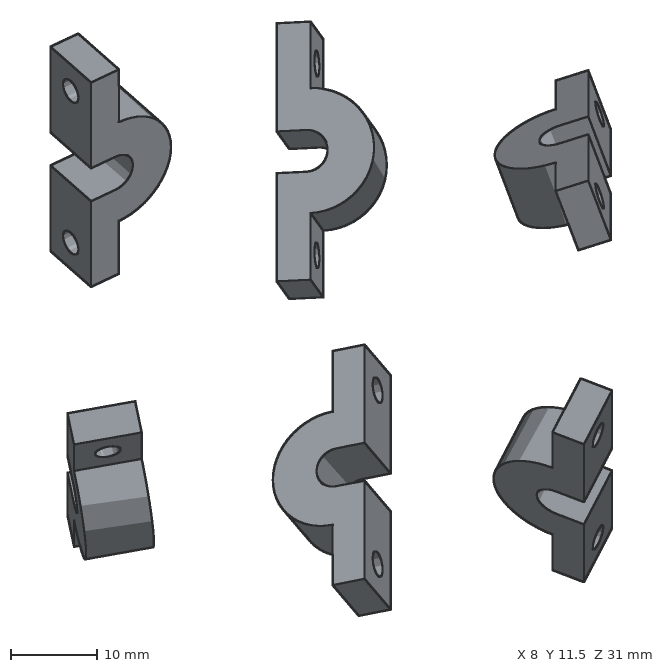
import cadquery as cq

width = 8.0
length = 31.0
flange_thickness = 4.0

saddle_radius = 7.5

channel_width = 5.0
channel_depth = 6.0
channel_radius = channel_width / 2
channel_arc_center = channel_depth - channel_radius

hole_diameter = 3.0
hole_end_distance = 4.0
hole_offset = length / 2 - hole_end_distance


def make_flange_bar():
    """Flat bar with its mounting face on Y = 0."""
    return cq.Workplane("XY").box(width, flange_thickness, length, centered=(True, False, True))


def make_saddle():
    """Half cylinder along X, standing on the back of the flange bar."""
    return (
        cq.Workplane("YZ", origin=(-width / 2, 0, 0))
        .moveTo(flange_thickness, -saddle_radius)
        .threePointArc(
            (flange_thickness + saddle_radius, 0),
            (flange_thickness, saddle_radius),
        )
        .close()
        .extrude(width)
    )


def make_channel():
    """Cutting body for the channel, running the full width along X."""
    return (
        cq.Workplane("YZ", origin=(-width / 2, 0, 0))
        .moveTo(0, -channel_radius)
        .lineTo(channel_arc_center, -channel_radius)
        .threePointArc((channel_depth, 0), (channel_arc_center, channel_radius))
        .lineTo(0, channel_radius)
        .close()
        .extrude(width)
    )


def make_screw_hole(z_position):
    """Cutting body for a through hole along Y at the given height."""
    return (
        cq.Workplane("XZ", origin=(0, 0, z_position))
        .circle(hole_diameter / 2)
        .extrude(-flange_thickness)
    )


result = make_flange_bar().union(make_saddle()).cut(make_channel())
for z_position in (-hole_offset, hole_offset):
    result = result.cut(make_screw_hole(z_position))